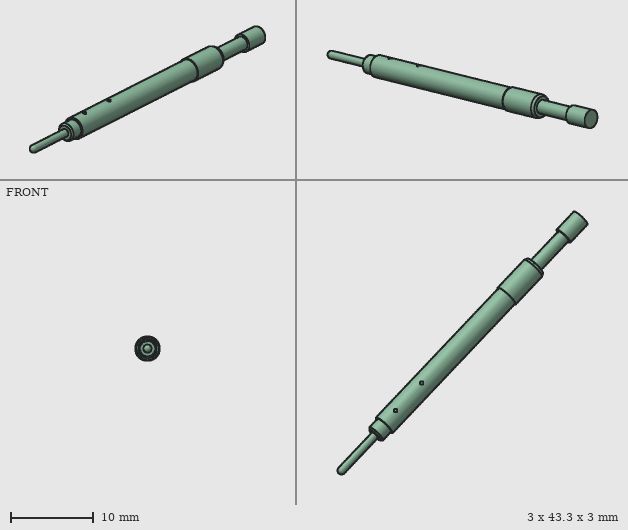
import cadquery as cq

LENGTH = 43.3
REAR_Y = LENGTH / 2
TIP_Y = -LENGTH / 2

HEAD_DIA = 2.3
NECK_DIA = 1.75
COLLAR_DIA = 3.0
BARREL_DIA = 2.75
PLUG_DIA = 2.3
PIN_DIA = 1.0

HEAD_LENGTH = 3.07
NECK_LENGTH = 5.05
COLLAR_LENGTH = 5.1
BARREL_LENGTH = 21.9
PLUG_LENGTH = 1.65

COLLAR_CHAMFER_LENGTH = 0.4
COLLAR_CHAMFER_DEPTH = 0.17
PLUG_CHAMFER = 0.2

DIMPLE_DIA = 0.45
DIMPLE_DEPTH = 0.15
DIMPLE_COUNT = 2
DIMPLE_TO_BARREL_END = 2.05
DIMPLE_PITCH = 4.68

head_end = REAR_Y - HEAD_LENGTH
neck_end = head_end - NECK_LENGTH
collar_end = neck_end - COLLAR_LENGTH
barrel_end = collar_end - BARREL_LENGTH
plug_end = barrel_end - PLUG_LENGTH


def cylinder(diameter, start_y, end_y):
    """Solid cylinder on the Y axis running from start_y down to end_y."""
    return cq.Workplane("XZ", origin=(0, start_y, 0)).circle(diameter / 2).extrude(start_y - end_y)


def make_collar():
    """Collar with a shallow lead-in chamfer on its head side."""
    collar = cylinder(COLLAR_DIA, neck_end, collar_end)
    radius = COLLAR_DIA / 2
    chamfer_profile = [
        (radius - COLLAR_CHAMFER_DEPTH, neck_end),
        (radius, neck_end),
        (radius, neck_end - COLLAR_CHAMFER_LENGTH),
    ]
    chamfer_ring = cq.Workplane("XY").polyline(chamfer_profile).close().revolve(360, (0, 0, 0), (0, 1, 0))
    return collar.cut(chamfer_ring)


def make_plug():
    """End plug with a chamfered outer edge."""
    return cylinder(PLUG_DIA, barrel_end, plug_end).faces("<Y").chamfer(PLUG_CHAMFER)


def make_pin():
    """Contact pin with a hemispherical tip."""
    radius = PIN_DIA / 2
    dome_centre_y = TIP_Y + radius
    shank = cylinder(PIN_DIA, plug_end, dome_centre_y)
    dome = cq.Workplane("XY", origin=(0, dome_centre_y, 0)).sphere(radius)
    return shank.union(dome)


def make_dimple(y):
    """Cutter for one blind round dimple entering the barrel from above."""
    floor_z = BARREL_DIA / 2 - DIMPLE_DEPTH
    return cq.Workplane("XY", origin=(0, y, floor_z)).circle(DIMPLE_DIA / 2).extrude(2 * DIMPLE_DEPTH)


result = (
    cylinder(HEAD_DIA, REAR_Y, head_end)
    .union(cylinder(NECK_DIA, head_end, neck_end))
    .union(make_collar())
    .union(cylinder(BARREL_DIA, collar_end, barrel_end))
    .union(make_plug())
    .union(make_pin())
)

for index in range(DIMPLE_COUNT):
    result = result.cut(make_dimple(barrel_end + DIMPLE_TO_BARREL_END + index * DIMPLE_PITCH))